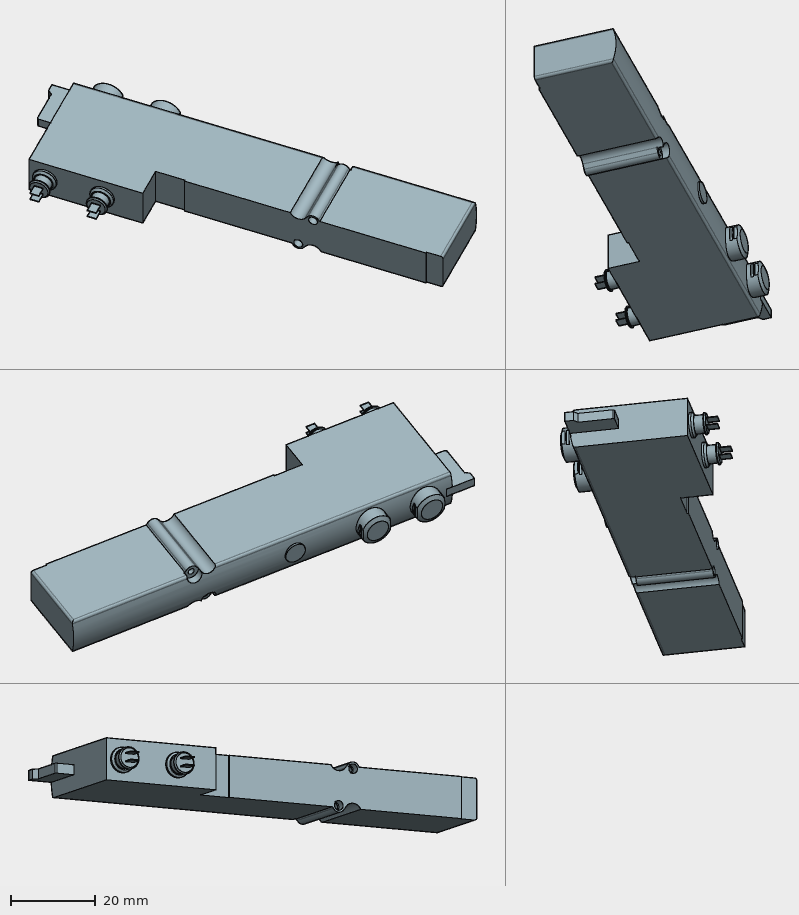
import cadquery as cq
import math

total_length = 108.5
total_thickness = 12.4
body_thickness = 10.1
body_start_x = 6.0
head_end_x = 35.0
head_front_y = -28.3
arm_front_y = -20.5
edge_radius = 0.7
crown_height = 0.7

pad_start_x = 42.5
pad_end_x = 104.3
pad_front_y = -20.8

rib_x = 75.4
groove_x = 71.6
rib_radius = 1.6
rib_center_z = total_thickness / 2 - rib_radius
groove_diameter = 4.5
groove_radius = groove_diameter / 2
groove_center_z = 6.0
rib_foot_width = 0.3
rib_foot_height = 0.3
screw_hole_diameter = 1.6
screw_counterbore_diameter = 2.3
screw_counterbore_depth = 2.2
screw_pocket_diameter = 3.9
screw_pocket_floor_y = -2.3

lever_thickness = 2.4
lever_shank_x = 1.1
lever_tip_y = -2.1
lever_shoulder_y = -2.9
lever_front_y = -11.7
lever_edge_chamfer = 0.3

port_count = 2
port_pitch = 14.6
first_port_x = 13.3
port_diameter = 8.1
port_height = 3.3
port_rim_height = 0.5
port_rim_inset = 1.2
port_slot_start_y = 1.0
port_slot_end_y = 1.6
port_slot_offset = 3.6
port_flat_start_y = 2.0
port_flat_offset = 3.7

first_connector_x = 10.1
collar_diameter = 6.1
collar_length = 1.1
collar_chamfer = 0.5
barrel_diameter = 4.5
flange_diameter = 5.3
flange_start_y = -31.7
flange_thickness = 0.5
flange_chamfer = 0.3
blade_tip_y = -34.9
blade_width = 2.3
blade_thickness = 0.2
blade_offset = 1.0

button_x = 48.6
button_diameter = 5.3
button_height = 0.3

half_thickness = body_thickness / 2
embed = 1.6


def disc(x, z, diameter, start_y, end_y):
    """Cylinder along Y between two Y positions."""
    low_y = min(start_y, end_y)
    length = abs(end_y - start_y)
    return cq.Workplane(cq.Solid.makeCylinder(
        diameter / 2, length, cq.Vector(x, low_y, z), cq.Vector(0, 1, 0)))


def block(x_range, y_range, z_range):
    """Axis-aligned box between the given limits."""
    sizes = [high - low for low, high in (x_range, y_range, z_range)]
    return (cq.Workplane("XY").box(*sizes, centered=False)
            .translate((x_range[0], y_range[0], z_range[0])))


def make_body():
    """L-shaped plate with a crowned back face and rounded edges on the back and right end."""
    outline = (cq.Workplane("XY").workplane(offset=-half_thickness)
               .moveTo(body_start_x, 0)
               .lineTo(total_length, 0)
               .lineTo(total_length, arm_front_y)
               .lineTo(pad_end_x, arm_front_y)
               .lineTo(pad_end_x, pad_front_y)
               .lineTo(pad_start_x, pad_front_y)
               .lineTo(pad_start_x, arm_front_y)
               .lineTo(head_end_x, arm_front_y)
               .lineTo(head_end_x, head_front_y)
               .lineTo(body_start_x, head_front_y)
               .close().extrude(body_thickness))
    outline = outline.faces(">X").edges("|Y").fillet(edge_radius)

    crown_edge_z = half_thickness - edge_radius
    shoulder_y = -crown_height - edge_radius
    bulge = edge_radius * (1 - math.sqrt(0.5))
    round_y = -crown_height - bulge
    round_z = half_thickness - bulge
    section = (cq.Workplane("YZ")
               .moveTo(head_front_y, -half_thickness)
               .lineTo(shoulder_y, -half_thickness)
               .threePointArc((round_y, -round_z), (-crown_height, -crown_edge_z))
               .threePointArc((0, 0), (-crown_height, crown_edge_z))
               .threePointArc((round_y, round_z), (shoulder_y, half_thickness))
               .lineTo(head_front_y, half_thickness)
               .close().extrude(total_length))
    return outline.intersect(section)


def add_screw_channel(body):
    """Add the upper rib and cut its groove, counterbored screw hole and screw-head pocket."""
    dx = rib_x - groove_x
    dz = rib_center_z - groove_center_z
    normal_angle = math.atan2(dz, dx) - math.acos((groove_radius + rib_radius) / math.hypot(dx, dz))
    normal_x = math.cos(normal_angle)
    normal_z = math.sin(normal_angle)
    groove_tangent = (groove_x + groove_radius * normal_x, groove_center_z + groove_radius * normal_z)
    rib_tangent = (rib_x - rib_radius * normal_x, rib_center_z - rib_radius * normal_z)

    flank = (cq.Workplane("XZ", origin=(0, screw_pocket_floor_y, 0))
             .polyline([groove_tangent, rib_tangent, (rib_x, rib_center_z), (rib_x, groove_tangent[1])])
             .close().extrude(screw_pocket_floor_y - pad_front_y))
    rib = disc(rib_x, rib_center_z, 2 * rib_radius, pad_front_y, screw_pocket_floor_y)
    groove = disc(groove_x, groove_center_z, 2 * groove_radius, pad_front_y, 0)
    foot_top_z = half_thickness + rib_foot_height
    foot_x = rib_x + math.sqrt(rib_radius ** 2 - (foot_top_z - rib_center_z) ** 2)
    foot = (cq.Workplane("XZ", origin=(0, screw_pocket_floor_y, 0))
            .polyline([(rib_x, rib_center_z), (rib_x, foot_top_z), (foot_x, foot_top_z),
                       (foot_x + rib_foot_width, half_thickness),
                       (foot_x + rib_foot_width, rib_center_z)])
            .close().extrude(screw_pocket_floor_y - pad_front_y))
    gap = (cq.Workplane("XZ")
           .polyline([groove_tangent, rib_tangent, (groove_x, rib_tangent[1]),
                      (groove_x, groove_center_z)])
           .close().extrude(-pad_front_y))
    hole = disc(rib_x, rib_center_z, screw_hole_diameter, pad_front_y, 0)
    counterbore_end_y = pad_front_y + screw_counterbore_depth
    counterbore = disc(rib_x, rib_center_z, screw_counterbore_diameter, pad_front_y, counterbore_end_y)
    pocket = disc(rib_x, rib_center_z, screw_pocket_diameter, screw_pocket_floor_y, 0)
    body = body.cut(groove).cut(gap)
    body = body.union(rib).union(flank).union(foot)
    return body.cut(hole).cut(counterbore).cut(pocket)


def add_both_screw_channels(body):
    """Second channel is the first one turned half a turn about the mid-axis between the ribs."""
    axis_x = (rib_x + groove_x) / 2
    axis_start = (axis_x, 0, 0)
    axis_end = (axis_x, 1, 0)
    body = add_screw_channel(body).rotate(axis_start, axis_end, 180)
    return add_screw_channel(body).rotate(axis_start, axis_end, 180)


def make_lever():
    """Flat latch lever with a nose at its back end."""
    return (cq.Workplane("XY").workplane(offset=-lever_thickness / 2)
            .moveTo(body_start_x + embed, 0)
            .lineTo(0, 0)
            .lineTo(0, lever_tip_y)
            .lineTo(lever_shank_x, lever_shoulder_y)
            .lineTo(lever_shank_x, lever_front_y + lever_edge_chamfer)
            .lineTo(lever_shank_x + lever_edge_chamfer, lever_front_y)
            .lineTo(body_start_x + embed, lever_front_y)
            .close().extrude(lever_thickness))


def make_port(x):
    """Round port with a bevelled rim, and a slot below an outer flat on either side."""
    radius = port_diameter / 2
    rim_start_y = port_height - port_rim_height
    port = (cq.Workplane("XY")
            .moveTo(0, -embed)
            .lineTo(radius, -embed)
            .lineTo(radius, rim_start_y)
            .lineTo(radius - port_rim_inset, port_height)
            .lineTo(0, port_height)
            .close().revolve(360, (0, 0), (0, 1)))
    side_cuts = ((port_slot_offset, port_slot_start_y, port_slot_end_y),
                 (port_flat_offset, port_flat_start_y, port_height))
    for offset, start_y, end_y in side_cuts:
        cutter = block((offset, radius), (start_y, end_y), (-radius, radius))
        port = port.cut(cutter).cut(cutter.mirror("YZ"))
    return port.translate((x, 0, 0))


def make_connector(x):
    """Stepped round connector ending in two flat blades."""
    flange_end_y = flange_start_y - flange_thickness
    collar = disc(x, 0, collar_diameter, head_front_y, head_front_y - collar_length)
    collar = collar.faces("<Y").chamfer(collar_chamfer)
    flange = disc(x, 0, flange_diameter, flange_start_y, flange_end_y)
    flange = flange.faces("<Y").chamfer(flange_chamfer)
    connector = (collar
                 .union(disc(x, 0, barrel_diameter, head_front_y + embed, flange_start_y))
                 .union(flange))
    for blade_z in (-blade_offset, blade_offset):
        blade = block((x - blade_width / 2, x + blade_width / 2),
                      (blade_tip_y, flange_start_y),
                      (blade_z - blade_thickness / 2, blade_z + blade_thickness / 2))
        connector = connector.union(blade)
    return connector


result = add_both_screw_channels(make_body())
result = result.union(make_lever())
for index in range(port_count):
    result = result.union(make_port(first_port_x + index * port_pitch))
    result = result.union(make_connector(first_connector_x + index * port_pitch))
result = result.union(disc(button_x, 0, button_diameter, -embed, button_height))